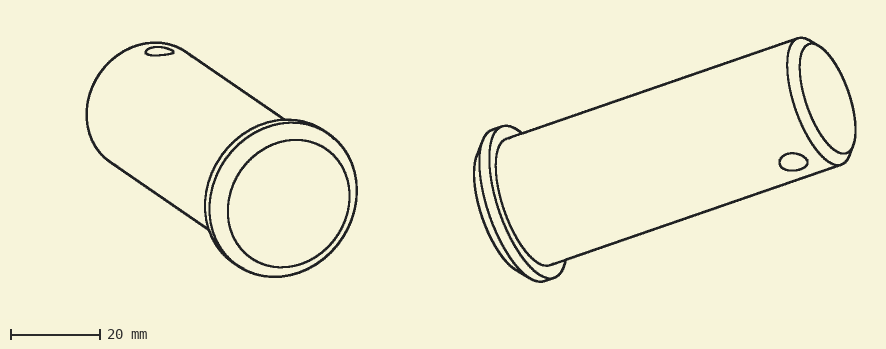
import cadquery as cq

total_length = 82.5
shank_diameter = 30.0
head_diameter = 36.0
head_thickness = 5.7
head_chamfer = 3.1
tip_chamfer = 2.1

hole_diameter = 6.3
hole_from_tip = 8.75

shank_length = total_length - head_thickness

shank = (
    cq.Workplane("YZ")
    .circle(shank_diameter / 2)
    .extrude(shank_length)
    .faces("<X")
    .chamfer(tip_chamfer)
)

head = (
    cq.Workplane("YZ", origin=(shank_length, 0, 0))
    .circle(head_diameter / 2)
    .extrude(head_thickness)
    .faces(">X")
    .chamfer(head_chamfer)
)

cross_hole = (
    cq.Workplane("XY", origin=(hole_from_tip, 0, 0))
    .circle(hole_diameter / 2)
    .extrude(shank_diameter, both=True)
)

result = shank.union(head).cut(cross_hole)